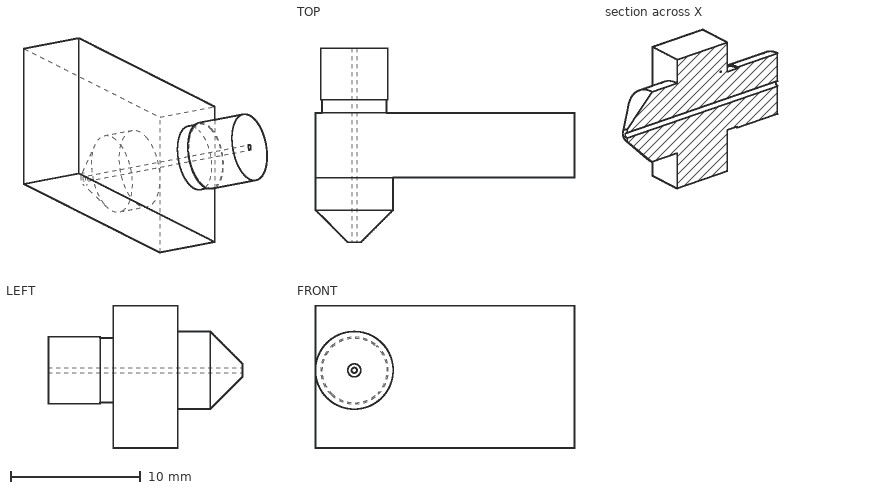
import cadquery as cq

block_length = 20.0
block_thickness = 5.0
block_height = 11.0

nozzle_diameter = 6.0
nozzle_cylinder_length = 2.5
nozzle_cone_length = 2.5
tip_diameter = 1.0

neck_diameter = 5.0
neck_length = 1.0
collar_diameter = 5.2
collar_length = 4.0

bore_diameter = 0.4

axis_x = nozzle_diameter / 2
axis_z = 6.0

block_front_y = 0.0
block_back_y = block_front_y + block_thickness
cone_base_y = block_front_y - nozzle_cylinder_length
tip_y = cone_base_y - nozzle_cone_length
collar_start_y = block_back_y + neck_length
collar_end_y = collar_start_y + collar_length


def make_block():
    """Rectangular block with its lower left front corner at the origin."""
    return cq.Workplane("XY").box(block_length, block_thickness, block_height, centered=False)


def cylinder_on_axis(diameter, start_y, end_y):
    """Cylinder around the common axis between two Y stations."""
    return cq.Workplane(
        cq.Solid.makeCylinder(
            diameter / 2, end_y - start_y, cq.Vector(axis_x, start_y, axis_z), cq.Vector(0, 1, 0)
        )
    )


def make_nozzle():
    """Short cylinder with a conical end that narrows to a flat tip."""
    cone = cq.Workplane(
        cq.Solid.makeCone(
            tip_diameter / 2,
            nozzle_diameter / 2,
            nozzle_cone_length,
            cq.Vector(axis_x, tip_y, axis_z),
            cq.Vector(0, 1, 0),
        )
    )
    return cylinder_on_axis(nozzle_diameter, cone_base_y, block_front_y).union(cone)


def make_heat_break():
    """Neck next to the block, followed by a slightly wider collar."""
    neck = cylinder_on_axis(neck_diameter, block_back_y, collar_start_y)
    collar = cylinder_on_axis(collar_diameter, collar_start_y, collar_end_y)
    return neck.union(collar)


bore = cylinder_on_axis(bore_diameter, tip_y, collar_end_y)

result = make_block().union(make_nozzle()).union(make_heat_break()).cut(bore)